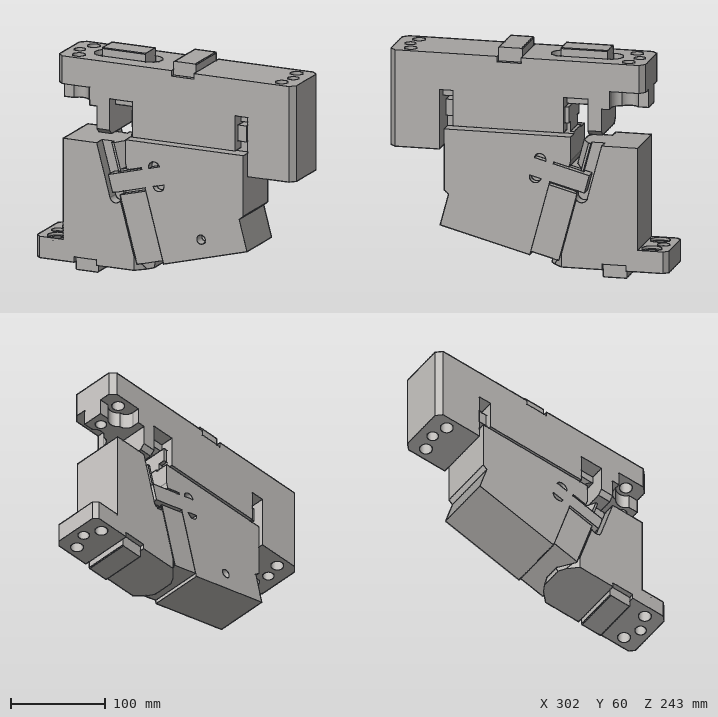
import cadquery as cq
import math


LENGTH = 302.0
WIDTH = 60.0
HALF = WIDTH / 2
OVERCUT = 3.0

SCREW_DIA = 13.5
SCREW_Y = 18.0
DOWEL_DIA = 12.0

KEY_LENGTH = 26.0
KEY_HALF_WIDTH = 25.0
KEY_DEPTH = 6.0
KEY_HEIGHT = 9.0
KEY_EDGE = 1.0

UPPER_LEFT = 25.5
UPPER_TOP = 225.0
UPPER_CORNER = 6.0
NOSE_BOTTOM = 175.0
PRONG_LEFT = 72.0
PRONG_RIGHT = 86.7
PRONG_BOTTOM = 145.3
PRONG_CHAMFER = 5.0
NOTCH_TOP = 184.8
JAW_LEFT = 113.2
JAW_RIGHT = 233.0
JAW_BOTTOM = 146.2
HEEL_LEFT = 248.0
HEEL_BOTTOM = 120.0

RAIL_BEVEL_LEFT = 88.2
RAIL_HALF_WIDTH = 15.0
RAIL_BEVEL_RUN = 8.0

UPPER_KEY_LEFT = 159.2
UPPER_SCREW_XS = (45.3, 282.0)
UPPER_DOWEL_XS = (37.8, 287.0)

SCREW_POCKET_TOP = 194.5
SCREW_POCKET_RIGHT = 63.5
SCREW_POCKET_INNER_Y = 11.8
SCREW_POCKET_RADIUS = 10.0
SCREW_HEAD_DIA = 21.7

RECESS_LEFT = 56.0
RECESS_RIGHT = 133.5
RECESS_WIDTH = 24.8
RECESS_DEPTH = 6.0
BLOCK_LEFT = 69.8
BLOCK_RIGHT = 120.2

HEAD_LEFT = 109.3
SLIDER_RIGHT = 242.8
HEAD_TOP = 172.7
HEAD_BOTTOM = 155.2
HEAD_HALF_WIDTH = 22.3
NECK_HALF_WIDTH = 15.0
SLIDER_LEFT = 105.5
SLIDER_TOP = 144.5
SHOULDER_TOP = 142.2
SLIDER_STEP_Z = 75.8
STEP_DROP = 4.2
SIDE_HOLE_DIA = 10.0
SIDE_HOLE_DEPTH = 12.0
SIDE_HOLE_TIP = 2.7
SIDE_HOLE_X = 193.5
SIDE_HOLE_Z = 43.8

FOOT_TOP = 23.5
FOOT_CORNER = 5.0
TOWER_LEFT = 32.5
TOWER_TOP = 134.7
BASE_RIGHT = 130.2
BASE_END_CHAMFER = 15.0
BASE_KEY_LEFT = 45.3
BASE_SCREW_X = 20.2
BASE_DOWEL_X = 12.0
SPOTFACE_DIA = 21.0
SPOTFACE_DEPTH = 3.0
DOWEL_RELIEF_DIA = 13.3
DOWEL_RELIEF_DEPTH = 3.0

TILT = math.radians(15)
GUIDE_X = 85.5
GUIDE_Z = TOWER_TOP
RIDGE_S = 10.3
RIDGE_HALF = 8.5
FLANK_ANGLE = math.radians(30)
WEB_HALF = 16.5
SLOT_RADIUS = 6.5
SLOT_CENTER_T = 56.8
ARM_INNER_Y = 22.0
HOOK_INNER_Y = 17.0
HOOK_RIGHT_S = -0.5
ARM_TIP_S = -8.8
ARM_TOP_T = 32.0
ARM_BOTTOM_T = 52.0
LEDGE_T = 30.0
LEDGE_S = 14.5
GROOVE_END_S = 31.7
PAD_LEFT_S = -1.2
PAD_RIGHT_S = 30.2
PAD_TOP_T = 55.5
PAD_BOTTOM_T = 132.0
PAD_RECESS = 0.3
SLIDER_BOTTOM_T = 136.0
SLIDER_END_S = 131.0
RELIEF_S = 46.5
RELIEF_RADIUS = 6.3
FAR = 181.2


def on_incline(s, t):
    """X, Z of a point given in guide coordinates."""
    x = GUIDE_X + s * math.cos(TILT) + t * math.sin(TILT)
    z = GUIDE_Z + s * math.sin(TILT) - t * math.cos(TILT)
    return (x, z)


def incline_line_at_z(s, z):
    """Point where the line of constant s reaches the height z."""
    t = (GUIDE_Z + s * math.sin(TILT) - z) / math.cos(TILT)
    return on_incline(s, t)


def incline_line_at_x(s, x):
    """Point where the line of constant s reaches the position x."""
    t = (x - GUIDE_X - s * math.cos(TILT)) / math.sin(TILT)
    return on_incline(s, t)


def slab(points, y_min, y_max):
    """Prism with an X-Z outline between two Y positions."""
    return cq.Workplane("XZ", origin=(0, y_max, 0)).polyline(points).close().extrude(y_max - y_min)


def centered_slab(points, half_width):
    return slab(points, -half_width, half_width)


def box(x_min, x_max, half_width, z_min, z_max):
    return cq.Workplane("XY").box(
        x_max - x_min, 2 * half_width, z_max - z_min, centered=(False, True, False)
    ).translate((x_min, 0, z_min))


def incline_rectangle(s_min, s_max, t_min, t_max):
    return [on_incline(s_min, t_min), on_incline(s_max, t_min),
            on_incline(s_max, t_max), on_incline(s_min, t_max)]


def on_both_sides(points, y_inner, y_outer):
    """The same prism on the -Y and the +Y side."""
    return slab(points, -y_outer, -y_inner).union(slab(points, y_inner, y_outer))


def vertical_pin(x, y, diameter, z_min, z_max):
    return cq.Workplane("XY", origin=(x, y, z_min)).circle(diameter / 2).extrude(z_max - z_min)


def key(x_left, seat_z, outward):
    """Cross key: slot cutter and key, for a seat facing up (outward = 1) or down (-1)."""
    x_right = x_left + KEY_LENGTH
    inner_z = seat_z - outward * KEY_DEPTH
    outer_z = seat_z + outward * KEY_HEIGHT
    slot = box(x_left, x_right, WIDTH, min(inner_z, outer_z), max(inner_z, outer_z))
    bar = box(x_left, x_right, KEY_HALF_WIDTH, min(inner_z, outer_z), max(inner_z, outer_z))
    outer_face = ">Z" if outward > 0 else "<Z"
    bar = bar.faces(outer_face).edges("|Y").chamfer(KEY_EDGE)
    return slot, bar


def flank_s(y):
    """s of the inclined rail flank at a distance y from the mid-plane."""
    return RIDGE_S - (y - RIDGE_HALF) * math.tan(FLANK_ANGLE)


def guide_rail():
    """V-shaped rail along the incline, as wide as the unit and longer than it at both ends."""
    back_s = flank_s(HALF) - OVERCUT
    section = [
        (back_s, -HALF), (flank_s(HALF), -HALF), (RIDGE_S, -RIDGE_HALF),
        (RIDGE_S, RIDGE_HALF), (flank_s(HALF), HALF), (back_s, HALF),
    ]
    start_x, start_z = on_incline(0, -FAR)
    plane = cq.Plane(
        origin=(start_x, 0, start_z),
        xDir=(math.cos(TILT), 0, math.sin(TILT)),
        normal=(math.sin(TILT), 0, -math.cos(TILT)),
    )
    return cq.Workplane(plane).polyline(section).close().extrude(2 * FAR)


def upper_profile():
    return [
        (UPPER_LEFT, UPPER_TOP), (LENGTH, UPPER_TOP), (LENGTH, HEEL_BOTTOM), (HEEL_LEFT, HEEL_BOTTOM),
        (HEEL_LEFT, NOTCH_TOP), (JAW_RIGHT, NOTCH_TOP), (JAW_RIGHT, JAW_BOTTOM), (JAW_LEFT, JAW_BOTTOM),
        (JAW_LEFT, NOTCH_TOP), (PRONG_RIGHT, NOTCH_TOP), (PRONG_RIGHT, PRONG_BOTTOM),
        (PRONG_LEFT, PRONG_BOTTOM), (PRONG_LEFT, NOSE_BOTTOM), (UPPER_LEFT, NOSE_BOTTOM),
    ]


def prong_corner(side):
    """Wedge that bevels one lower side edge of the prong."""
    points = [(side * HALF, PRONG_BOTTOM), (side * (HALF - PRONG_CHAMFER), PRONG_BOTTOM),
              (side * HALF, PRONG_BOTTOM + PRONG_CHAMFER)]
    depth = PRONG_RIGHT - PRONG_LEFT
    return cq.Workplane("YZ", origin=(PRONG_LEFT, 0, 0)).polyline(points).close().extrude(depth)


def upper_rail():
    """Guide rail in the roof, with shallow bevels along its sides and at its free end."""
    rail = box(PRONG_RIGHT, HEEL_LEFT, RAIL_HALF_WIDTH, NOSE_BOTTOM, NOTCH_TOP)
    base_length = 2 * (HEEL_LEFT - RAIL_BEVEL_LEFT)
    base_width = 2 * RAIL_HALF_WIDTH
    frustum = (
        cq.Workplane("XY", origin=(HEEL_LEFT, 0, NOSE_BOTTOM))
        .rect(base_length, base_width)
        .workplane(offset=HEAD_TOP - NOSE_BOTTOM)
        .rect(base_length - 2 * RAIL_BEVEL_RUN, base_width - 2 * RAIL_BEVEL_RUN)
        .loft(ruled=True)
    )
    return rail.union(frustum.intersect(box(PRONG_RIGHT, HEEL_LEFT, HALF, HEAD_TOP, NOSE_BOTTOM)))


def screw_pocket(side):
    """Corner pocket under one nose screw, rounded inside and widened for the screw head."""
    outer_y = HALF + OVERCUT
    pocket_width = outer_y - SCREW_POCKET_INNER_Y
    pocket = (
        cq.Workplane("XY", origin=(UPPER_LEFT, SCREW_POCKET_INNER_Y, NOSE_BOTTOM))
        .box(SCREW_POCKET_RIGHT - UPPER_LEFT, pocket_width, SCREW_POCKET_TOP - NOSE_BOTTOM, centered=False)
        .edges("|Z and >X and <Y").fillet(SCREW_POCKET_RADIUS)
    )
    head = vertical_pin(UPPER_SCREW_XS[0], SCREW_Y, SCREW_HEAD_DIA, NOSE_BOTTOM, SCREW_POCKET_TOP)
    pocket = pocket.union(head)
    return pocket if side > 0 else pocket.mirror("XZ")


def lock_block(body):
    """Sinks a round-ended recess into the top and stands the locking block in it."""
    floor_z = UPPER_TOP - RECESS_DEPTH
    recess = (
        cq.Workplane("XY", origin=((RECESS_LEFT + RECESS_RIGHT) / 2, 0, floor_z))
        .slot2D(RECESS_RIGHT - RECESS_LEFT, RECESS_WIDTH).extrude(RECESS_DEPTH)
    )
    block = box(BLOCK_LEFT, BLOCK_RIGHT, RECESS_WIDTH / 2, floor_z, UPPER_TOP + KEY_HEIGHT)
    block = block.faces(">Z").edges("|X").chamfer(KEY_EDGE)
    return body.cut(recess).union(block)


def make_upper():
    body = centered_slab(upper_profile(), HALF)
    body = body.edges("|Z and (<X or >X)").chamfer(UPPER_CORNER)
    body = body.union(upper_rail())
    body = body.cut(box(JAW_LEFT, JAW_RIGHT, NECK_HALF_WIDTH, JAW_BOTTOM, HEAD_BOTTOM))
    body = body.cut(box(JAW_LEFT, JAW_RIGHT, HEAD_HALF_WIDTH, HEAD_BOTTOM, HEAD_TOP))
    for side in (-1, 1):
        body = body.cut(prong_corner(side)).cut(screw_pocket(side))
        for x in UPPER_SCREW_XS:
            body = body.cut(vertical_pin(x, side * SCREW_Y, SCREW_DIA, HEEL_BOTTOM, UPPER_TOP))
    for x in UPPER_DOWEL_XS:
        body = body.cut(vertical_pin(x, 0, DOWEL_DIA, HEEL_BOTTOM, UPPER_TOP))
    slot, bar = key(UPPER_KEY_LEFT, UPPER_TOP, 1)
    return lock_block(body.cut(slot).union(bar))


def slider_profile():
    """Outline of the full-width slider body."""
    step_z = SLIDER_STEP_Z - STEP_DROP
    return [
        (SLIDER_LEFT, SHOULDER_TOP), (SLIDER_RIGHT, SHOULDER_TOP), (SLIDER_RIGHT, SLIDER_STEP_Z),
        incline_line_at_z(SLIDER_END_S, step_z), on_incline(SLIDER_END_S, SLIDER_BOTTOM_T),
        on_incline(PAD_RIGHT_S, SLIDER_BOTTOM_T), on_incline(PAD_RIGHT_S, LEDGE_T),
        on_incline(LEDGE_S, LEDGE_T), incline_line_at_x(LEDGE_S, SLIDER_LEFT),
    ]


def arm_reliefs():
    """Round reliefs above and below the root of the hook arm, on both sides."""
    reliefs = cq.Workplane("XY")
    for t in (ARM_TOP_T, ARM_BOTTOM_T):
        x, z = on_incline(RELIEF_S, t)
        for y_max in (-ARM_INNER_Y, HALF):
            relief = cq.Workplane("XZ", origin=(x, y_max, z)).circle(RELIEF_RADIUS)
            reliefs = reliefs.union(relief.extrude(HALF - ARM_INNER_Y))
    return reliefs


def side_hole():
    """Blind drilled hole in the -Y side, with a conical bottom."""
    radius = SIDE_HOLE_DIA / 2
    bottom_y = -HALF + SIDE_HOLE_DEPTH
    bottom = cq.Vector(SIDE_HOLE_X, bottom_y, SIDE_HOLE_Z)
    hole = cq.Workplane("XZ", origin=bottom).circle(radius).extrude(SIDE_HOLE_DEPTH)
    tip = cq.Solid.makeCone(radius, 0, SIDE_HOLE_TIP, bottom, cq.Vector(0, 1, 0))
    return hole.union(cq.Workplane(tip))


def make_slider():
    body = centered_slab(slider_profile(), HALF)
    core = centered_slab(incline_rectangle(0, GROOVE_END_S, LEDGE_T, PAD_BOTTOM_T), ARM_INNER_Y)
    body = body.union(core)
    pad = incline_rectangle(PAD_LEFT_S, PAD_RIGHT_S, PAD_TOP_T, PAD_BOTTOM_T)
    body = body.union(on_both_sides(pad, ARM_INNER_Y, HALF - PAD_RECESS))
    body = body.cut(guide_rail())
    groove = incline_rectangle(0, GROOVE_END_S, LEDGE_T, ARM_TOP_T)
    body = body.cut(on_both_sides(groove, ARM_INNER_Y, HALF))
    body = body.cut(arm_reliefs())
    arm = incline_rectangle(ARM_TIP_S, RELIEF_S + RELIEF_RADIUS, ARM_TOP_T, ARM_BOTTOM_T)
    body = body.union(on_both_sides(arm, ARM_INNER_Y, HALF))
    hook = incline_rectangle(ARM_TIP_S, HOOK_RIGHT_S, ARM_TOP_T, ARM_BOTTOM_T)
    body = body.union(on_both_sides(hook, HOOK_INNER_Y, HALF))
    body = body.cut(side_hole())
    body = body.union(box(SLIDER_LEFT, SLIDER_RIGHT, NECK_HALF_WIDTH, SHOULDER_TOP, SLIDER_TOP))
    body = body.union(box(HEAD_LEFT, SLIDER_RIGHT, NECK_HALF_WIDTH, SLIDER_TOP, HEAD_BOTTOM))
    return body.union(box(HEAD_LEFT, SLIDER_RIGHT, HEAD_HALF_WIDTH, HEAD_BOTTOM, HEAD_TOP))


def base_profile():
    """Outline of the base up to the ridge of its rail."""
    return [
        (0, 0), (BASE_RIGHT, 0), incline_line_at_x(RIDGE_S, BASE_RIGHT),
        incline_line_at_z(RIDGE_S, TOWER_TOP), (TOWER_LEFT, TOWER_TOP), (TOWER_LEFT, FOOT_TOP), (0, FOOT_TOP),
    ]


def hook_slot():
    """Round-ended slots beside the web that take the hook arms."""
    slot = incline_rectangle(-2 * SLOT_RADIUS, 0, -SLOT_RADIUS, SLOT_CENTER_T)
    cutter = on_both_sides(slot, WEB_HALF, HALF)
    x, z = on_incline(-SLOT_RADIUS, SLOT_CENTER_T)
    for y_max in (-WEB_HALF, HALF):
        end = cq.Workplane("XZ", origin=(x, y_max, z)).circle(SLOT_RADIUS).extrude(HALF - WEB_HALF)
        cutter = cutter.union(end)
    return cutter


def make_base():
    body = centered_slab(base_profile(), HALF)
    body = body.edges("|Z and <X").chamfer(FOOT_CORNER)
    body = body.edges("|Z and >X").chamfer(BASE_END_CHAMFER)
    beyond = centered_slab(incline_rectangle(flank_s(HALF), FAR, -FAR, FAR), HALF)
    body = body.cut(beyond.cut(guide_rail()))
    beside_arms = incline_rectangle(flank_s(HALF), RIDGE_S, -FAR, PAD_TOP_T)
    body = body.cut(on_both_sides(beside_arms, ARM_INNER_Y, HALF))
    body = body.cut(hook_slot())
    for side in (-1, 1):
        y = side * SCREW_Y
        body = body.cut(vertical_pin(BASE_SCREW_X, y, SCREW_DIA, 0, FOOT_TOP))
        body = body.cut(vertical_pin(BASE_SCREW_X, y, SPOTFACE_DIA, FOOT_TOP - SPOTFACE_DEPTH, FOOT_TOP))
    body = body.cut(vertical_pin(BASE_DOWEL_X, 0, DOWEL_DIA, 0, FOOT_TOP))
    body = body.cut(vertical_pin(BASE_DOWEL_X, 0, DOWEL_RELIEF_DIA, FOOT_TOP - DOWEL_RELIEF_DEPTH, FOOT_TOP))
    slot, bar = key(BASE_KEY_LEFT, 0, -1)
    return body.cut(slot).union(bar)


upper = make_upper()
slider = make_slider()
base = make_base()

result = cq.Compound.makeCompound([upper.val(), slider.val(), base.val()])